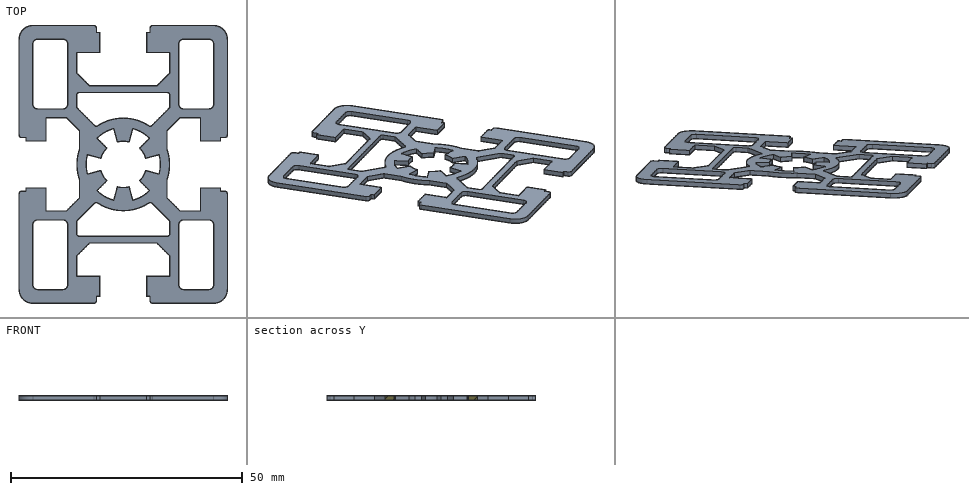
import cadquery as cq
import math

width = 45.0
height = 60.0
thickness = 1.0
corner_radius = 3.0

mouth_half = 5.05
mouth_step = 0.7
step_depth = 1.5
lip_depth = 5.9
cavity_half = 10.0
slot_depth = 13.0
slot_chamfer = 2.75
mouth_fillet = 0.6

outer_wall = 3.0
hollow_inner = 12.0
hollow_fillet = 1.0

floor_wall = 1.5
diagonal_offset = 2.2
chamber_fillet = 0.5

ring_radius = 10.0
root_radius = 8.0
tip_radius = 5.0
gap_count = 6
gap_angle = 180 / gap_count


def t_slot(edge):
    """Slot cutter entering from +Y, with its mouth at y = edge."""
    outer_half = mouth_half + mouth_step
    floor_y = edge - slot_depth
    right_side = [
        (outer_half, edge),
        (outer_half, edge - step_depth),
        (mouth_half, edge - step_depth),
        (mouth_half, edge - lip_depth),
        (cavity_half, edge - lip_depth),
        (cavity_half, floor_y + slot_chamfer),
        (cavity_half - slot_chamfer, floor_y),
    ]
    left_side = [(-x, y) for x, y in reversed(right_side)]
    return cq.Workplane("XY").polyline(right_side + left_side).close().extrude(thickness)


def slotted_plate():
    """Rounded plate with all four slots and their rounded mouth corners."""
    plate = cq.Workplane("XY").rect(width, height).extrude(thickness)
    plate = plate.edges("|Z").fillet(corner_radius)
    for turn, edge in ((0, height / 2), (90, width / 2), (180, height / 2), (270, width / 2)):
        plate = plate.cut(t_slot(edge).rotate((0, 0, 0), (0, 0, 1), turn))

    outer_half = mouth_half + mouth_step
    mid_z = thickness / 2
    for sx in (-1, 1):
        for sy in (-1, 1):
            for x, y in ((outer_half, height / 2), (width / 2, outer_half)):
                corner = cq.selectors.NearestToPointSelector((sx * x, sy * y, mid_z))
                plate = plate.edges("|Z").edges(corner).fillet(mouth_fillet)
    return plate


def corner_hollows():
    """Rounded rectangular openings in the four corners."""
    outer_x = width / 2 - outer_wall
    outer_y = height / 2 - outer_wall
    centre_x = (outer_x + hollow_inner) / 2
    centre_y = (outer_y + hollow_inner) / 2
    return (
        cq.Workplane("XY")
        .rect(2 * centre_x, 2 * centre_y, forConstruction=True)
        .vertices()
        .rect(outer_x - hollow_inner, outer_y - hollow_inner)
        .extrude(thickness)
        .edges("|Z")
        .fillet(hollow_fillet)
    )


def chamber():
    """Opening above the ring, bounded below by two 45 degree webs and the ring."""
    top = height / 2 - slot_depth - floor_wall
    web_top = cavity_half + diagonal_offset
    web_x = (math.sqrt(2 * ring_radius**2 - diagonal_offset**2) - diagonal_offset) / 2
    web_y = web_x + diagonal_offset
    return (
        cq.Workplane("XY")
        .moveTo(-web_x, web_y)
        .lineTo(-cavity_half, web_top)
        .lineTo(-cavity_half, top)
        .lineTo(cavity_half, top)
        .lineTo(cavity_half, web_top)
        .lineTo(web_x, web_y)
        .threePointArc((0, ring_radius), (-web_x, web_y))
        .close()
        .extrude(thickness)
        .edges("|Z")
        .fillet(chamber_fillet)
    )


def polar(radius, degrees):
    angle = math.radians(degrees)
    return radius * math.cos(angle), radius * math.sin(angle)


def core_bore():
    """Round bore plus the gaps between the teeth, whose flanks are radial."""
    bore = cq.Workplane("XY").circle(tip_radius).extrude(thickness)
    gap = (
        cq.Workplane("XY")
        .lineTo(*polar(root_radius, -gap_angle / 2))
        .threePointArc((root_radius, 0), polar(root_radius, gap_angle / 2))
        .close()
        .extrude(thickness)
    )
    for i in range(gap_count):
        bore = bore.union(gap.rotate((0, 0, 0), (0, 0, 1), i * 360 / gap_count))
    return bore


ring = cq.Workplane("XY").circle(ring_radius).extrude(thickness)
upper_chamber = chamber()

result = (
    slotted_plate()
    .cut(corner_hollows())
    .cut(upper_chamber)
    .cut(upper_chamber.mirror("XZ"))
    .union(ring)
    .cut(core_bore())
)